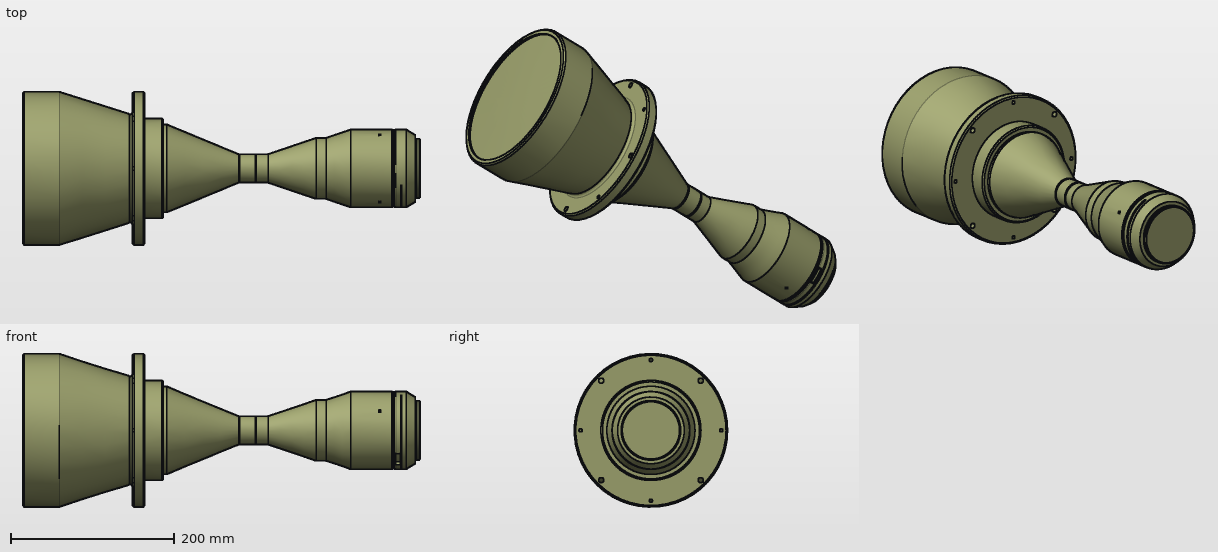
import cadquery as cq
import math


barrel_radius = 94.0
rim_chamfer = 2.0
barrel_end = 45.0
front_cone_end = 129.5
front_cone_end_radius = 67.0

lens_radius = 87.0
lens_edge_recess = 2.5
lens_dome_height = 2.0
lens_seat_depth = 12.0

hub_step_length = 1.5
hub_start = front_cone_end + hub_step_length
hub_radius = 66.0
hub_fillet = 3.5
flange_radius = barrel_radius
flange_front = hub_start + hub_fillet
flange_back = 149.5
flange_chamfer = 2.0
collar_radius = 61.5
collar_back = 172.5
collar_chamfer = 2.0

bolt_circle_radius = 86.0
bolt_hole_diameter = 6.5
tapped_hole_diameter = 4.0
holes_per_set = 4

rear_cone_plain_end = 176.5
rear_cone_radius = 54.0
waist_start = 264.5
waist_end = 300.5
waist_radius = 17.5
waist_groove_width = 1.5
waist_groove_depth = 0.5
waist_second_groove = 285.0

neck_start = 359.5
neck_end = 371.5
neck_radius = 37.5
eyepiece_start = 401.5
eyepiece_radius = 47.5
eyepiece_taper_start = 470.0
eyepiece_back = 481.0
eyepiece_back_radius = 41.0
mount_radius = 36.5
mount_chamfer = 1.5
total_length = 487.0

ring_groove_start = 452.0
ring_groove_width = 5.0
ring_groove_wall_length = 1.5
ring_groove_depth = 0.5
ring_groove_end = ring_groove_start + ring_groove_width
ring_groove_floor_radius = eyepiece_radius - ring_groove_depth

set_screw_x = 437.5
set_screw_diameter = 3.0
set_screw_depth = 5.0
set_screw_count = 3
set_screw_first_angle = 30

window_center_x = 459.5
window_width = 6.0
window_angle = 229
window_span = 25
window_depth = 4.0
scale_line_x = 463.0
scale_line_width = 1.5
scale_line_depth = 0.5
scale_line_span = 226

overcut = 5.0


def revolve_about_x(profile):
    return profile.close().revolve(360, (0, 0, 0), (1, 0, 0))


def make_blank():
    """Full turned outline of the housing, from the front rim to the rear mount."""
    profile = (
        cq.Workplane("XY")
        .moveTo(0, 0)
        .lineTo(0, barrel_radius - rim_chamfer)
        .lineTo(rim_chamfer, barrel_radius)
        .lineTo(barrel_end, barrel_radius)
        .lineTo(front_cone_end, front_cone_end_radius)
        .lineTo(hub_start, hub_radius)
        .radiusArc((flange_front, hub_radius + hub_fillet), -hub_fillet)
        .lineTo(flange_front, flange_radius - flange_chamfer)
        .lineTo(flange_front + flange_chamfer, flange_radius)
        .lineTo(flange_back - flange_chamfer, flange_radius)
        .lineTo(flange_back, flange_radius - flange_chamfer)
        .lineTo(flange_back, collar_radius)
        .lineTo(collar_back - collar_chamfer, collar_radius)
        .lineTo(collar_back, collar_radius - collar_chamfer)
        .lineTo(collar_back, rear_cone_radius)
        .lineTo(rear_cone_plain_end, rear_cone_radius)
        .lineTo(waist_start, waist_radius)
        .lineTo(waist_end, waist_radius)
        .lineTo(neck_start, neck_radius)
        .lineTo(neck_end, neck_radius)
        .lineTo(eyepiece_start, eyepiece_radius)
        .lineTo(ring_groove_start, eyepiece_radius)
        .lineTo(ring_groove_start + ring_groove_wall_length, ring_groove_floor_radius)
        .lineTo(ring_groove_end - ring_groove_wall_length, ring_groove_floor_radius)
        .lineTo(ring_groove_end, eyepiece_radius)
        .lineTo(eyepiece_taper_start, eyepiece_radius)
        .lineTo(eyepiece_back, eyepiece_back_radius)
        .lineTo(eyepiece_back, mount_radius - mount_chamfer)
        .lineTo(eyepiece_back + mount_chamfer, mount_radius)
        .lineTo(total_length - mount_chamfer, mount_radius)
        .lineTo(total_length, mount_radius - mount_chamfer)
        .lineTo(total_length, 0)
    )
    return revolve_about_x(profile)


def make_ring_cut(start, width, outer_radius, depth):
    """Ring that cuts a square groove of the given depth around the axis."""
    return (
        cq.Workplane("YZ", origin=(start, 0, 0))
        .circle(outer_radius + overcut)
        .circle(outer_radius - depth)
        .extrude(width)
    )


def make_sector_cut(start, width, depth, middle_angle, span):
    """Part of an eyepiece groove that covers only the given span of angles."""
    reach = 2 * eyepiece_radius
    first = math.radians(middle_angle - span / 2)
    middle = math.radians(middle_angle)
    last = math.radians(middle_angle + span / 2)
    sector = (
        cq.Workplane("YZ", origin=(start, 0, 0))
        .lineTo(reach * math.cos(first), reach * math.sin(first))
        .threePointArc(
            (reach * math.cos(middle), reach * math.sin(middle)),
            (reach * math.cos(last), reach * math.sin(last)),
        )
        .close()
        .extrude(width)
    )
    return make_ring_cut(start, width, eyepiece_radius, depth).intersect(sector)


def make_flange_holes(diameter, first_angle):
    """Evenly spaced pins that cut one set of through holes in the flange."""
    return (
        cq.Workplane("YZ", origin=(flange_front, 0, 0))
        .polarArray(bolt_circle_radius, first_angle, 360, holes_per_set)
        .circle(diameter / 2)
        .extrude(flange_back - flange_front)
    )


def make_set_screw_hole(angle):
    hole = (
        cq.Workplane("XZ", origin=(set_screw_x, eyepiece_radius - set_screw_depth, 0))
        .circle(set_screw_diameter / 2)
        .extrude(-set_screw_depth - overcut)
    )
    return hole.rotate((0, 0, 0), (1, 0, 0), angle)


def make_lens():
    """Front lens: domed outer face, flat back."""
    profile = (
        cq.Workplane("XY")
        .moveTo(lens_seat_depth, 0)
        .lineTo(lens_seat_depth, lens_radius)
        .lineTo(lens_edge_recess, lens_radius)
    )
    dome_radius = (lens_radius**2 + lens_dome_height**2) / (2 * lens_dome_height)
    profile = profile.radiusArc((lens_edge_recess - lens_dome_height, 0), -dome_radius)
    return revolve_about_x(profile)


def make_housing():
    body = make_blank()

    lens_seat = cq.Workplane("YZ").circle(lens_radius).extrude(lens_seat_depth)
    body = body.cut(lens_seat)

    body = body.cut(make_flange_holes(bolt_hole_diameter, 360 / holes_per_set / 2))
    body = body.cut(make_flange_holes(tapped_hole_diameter, 0))

    for start in (waist_start, waist_second_groove):
        body = body.cut(make_ring_cut(start, waist_groove_width, waist_radius, waist_groove_depth))

    for index in range(set_screw_count):
        body = body.cut(make_set_screw_hole(set_screw_first_angle + index * 360 / set_screw_count))

    window_start = window_center_x - window_width / 2
    body = body.cut(
        make_sector_cut(window_start, window_width, window_depth, window_angle, window_span)
    )
    return body.cut(
        make_sector_cut(
            scale_line_x, scale_line_width, scale_line_depth, window_angle, scale_line_span
        )
    )


housing = make_housing()
lens = make_lens()

result = cq.Compound.makeCompound([housing.val(), lens.val()])